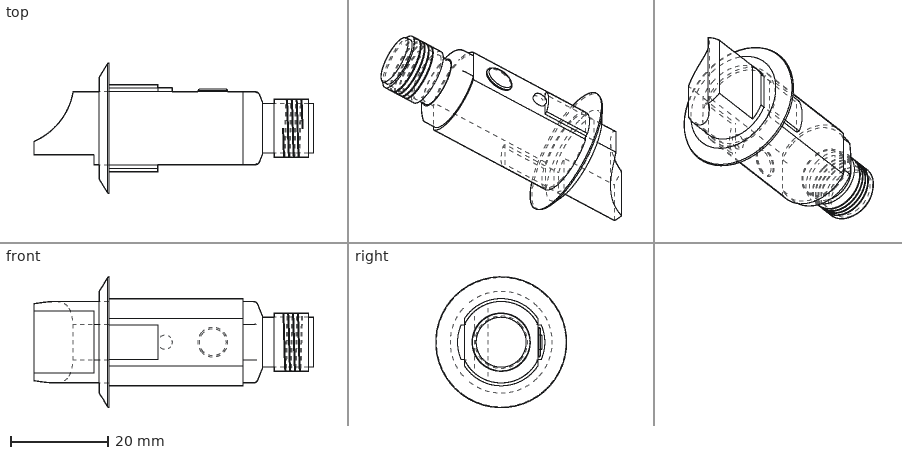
import cadquery as cq


head_step_x = 12.35
bezel_front_x = 13.42
bezel_rim_x = 15.15
bezel_back_x = 15.5
tab_end_x = 25.55
housing_end_x = 43.1
cap_end_x = 47.1
nut_start_x = 49.5
nut_end_x = 56.6
connector_end_x = 57.6

core_radius = 8.4
housing_radius = 9.0
flat_offset = 7.55
bezel_radius = 13.5
bezel_face_radius = 10.5
bezel_rim_radius = 13.35
tab_height = 7.15
connector_radius = 5.15
nut_radius = 6.0

nose_flat_y = -5.46
nose_edge_y = -2.7
scoop_end_x = 8.05
scoop_radius = 13.65

cap_cone_x = 45.9
cap_cone_end_radius = 5.4
cap_fillet = 1.0

thread_pitch = 1.0
thread_turns = 4
thread_start_x = nut_start_x + 1.83
groove_width = 0.2
groove_depth = 0.1

lamp_diameter = 2.95
lamp_height = 0.85
lamp_fillet = 0.2
dial_x = 36.85
dial_diameter = 6.15
dial_height = 0.55
dial_chamfer = 0.3


def rod(radius, start_x, end_x):
    """Round bar along the axis."""
    return cq.Workplane("YZ", origin=(start_x, 0, 0)).circle(radius).extrude(end_x - start_x)


def slab(start_x, end_x):
    """Block between the two side flats, tall enough to span any section."""
    length = end_x - start_x
    return cq.Workplane("XY").box(length, 2 * flat_offset, 2 * bezel_radius).translate(
        (start_x + length / 2, 0, 0)
    )


def flatted_rod(radius, start_x, end_x):
    """Round bar with a flat on the -Y and +Y sides."""
    return rod(radius, start_x, end_x).intersect(slab(start_x, end_x))


def make_head():
    """Sensing head: concave face toward the tip and a step beside the nose."""
    outline = (
        cq.Workplane("XY", origin=(0, 0, -core_radius))
        .moveTo(0, nose_flat_y)
        .lineTo(head_step_x, nose_flat_y)
        .lineTo(head_step_x, -flat_offset)
        .lineTo(bezel_back_x, -flat_offset)
        .lineTo(bezel_back_x, flat_offset)
        .lineTo(scoop_end_x, flat_offset)
        .radiusArc((0, nose_edge_y), scoop_radius)
        .close()
        .extrude(2 * core_radius)
    )
    return rod(core_radius, 0, bezel_back_x).intersect(outline)


def make_bezel():
    """Conical flange around the head, with two tabs lying on the housing flats."""
    flange = (
        cq.Workplane("XY")
        .moveTo(bezel_front_x, 0)
        .lineTo(bezel_front_x, bezel_face_radius)
        .lineTo(bezel_rim_x, bezel_rim_radius)
        .lineTo(bezel_back_x, bezel_radius)
        .lineTo(bezel_back_x, 0)
        .close()
        .revolve(360, (0, 0, 0), (1, 0, 0))
        .cut(flatted_rod(core_radius, bezel_front_x, bezel_back_x))
    )
    tab_length = tab_end_x - bezel_back_x
    tab_band = cq.Workplane("XY").box(tab_length, 2 * housing_radius, tab_height).translate(
        (bezel_back_x + tab_length / 2, 0, 0)
    )
    tabs = (
        rod(housing_radius, bezel_back_x, tab_end_x)
        .intersect(tab_band)
        .cut(slab(bezel_back_x, tab_end_x))
    )
    return flange.union(tabs)


def make_housing():
    """Flatted barrel behind the bezel."""
    return flatted_rod(housing_radius, bezel_back_x, housing_end_x)


def make_end_cap():
    """Flatted cap closing with a steep cone and a rounded shoulder."""
    return (
        cq.Workplane("XY")
        .moveTo(housing_end_x, 0)
        .lineTo(housing_end_x, core_radius)
        .lineTo(cap_cone_x, core_radius)
        .lineTo(cap_end_x, cap_cone_end_radius)
        .lineTo(cap_end_x, 0)
        .close()
        .revolve(360, (0, 0, 0), (1, 0, 0))
        .intersect(slab(housing_end_x, cap_end_x))
        .faces("%CONE")
        .edges("not(>X)")
        .fillet(cap_fillet)
    )


def make_connector():
    """Round plug shaft that carries the nut."""
    return rod(connector_radius, cap_end_x, connector_end_x)


def make_thread_groove():
    """Shallow V groove winding right-handed about the axis."""
    helix = cq.Workplane(cq.Wire.makeHelix(thread_pitch, thread_turns * thread_pitch, nut_radius))
    profile = cq.Workplane("XZ").polyline(
        [
            (nut_radius - groove_depth, 0),
            (nut_radius + groove_depth, groove_width),
            (nut_radius + groove_depth, -groove_width),
        ]
    ).close()
    groove = profile.sweep(helix, isFrenet=True)
    laid_groove = groove.rotate((0, 0, 0), (0, 1, 0), -90).mirror("YZ").mirror("XZ")
    return laid_groove.translate((thread_start_x, 0, 0))


def make_nut():
    """Threaded ring on the connector shaft."""
    ring = rod(nut_radius, nut_start_x, nut_end_x).cut(rod(connector_radius, nut_start_x, nut_end_x))
    return ring.cut(make_thread_groove())


def make_button(center_x, diameter, height):
    """Plain disc standing on the +Y flat."""
    base = cq.Workplane("XZ", origin=(center_x, flat_offset, 0))
    return base.circle(diameter / 2).extrude(-height)


head = make_head()
bezel = make_bezel()
housing = make_housing()
end_cap = make_end_cap()
connector = make_connector()
nut = make_nut()
lamp = make_button(tab_end_x + lamp_diameter / 2, lamp_diameter, lamp_height).edges(">Y").fillet(lamp_fillet)
dial = make_button(dial_x, dial_diameter, dial_height).edges(">Y").chamfer(dial_chamfer)

bodies = [head, bezel, housing, end_cap, connector, nut, lamp, dial]
result = cq.Compound.makeCompound([body.val() for body in bodies])